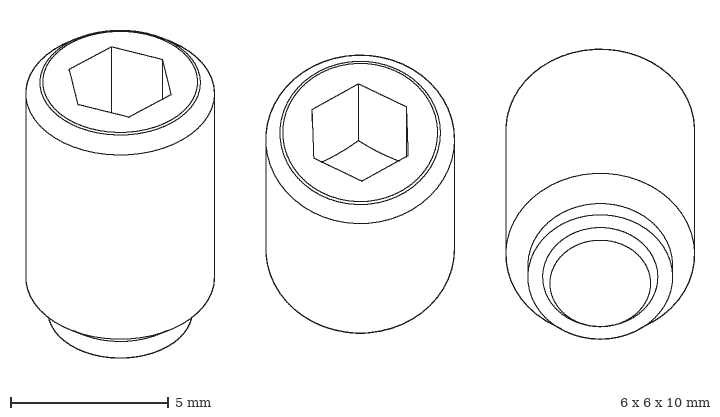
import cadquery as cq
import math

length = 10.0
thread_radius = 3.0
rim_radius = 2.55
face_radius = 2.46
rim_drop = 0.03
top_chamfer_height = 0.48
neck_radius = 2.3
lower_chamfer_height = thread_radius - neck_radius
neck_height = 0.7

tip_height = 0.4
tip_base_radius = 1.83
tip_end_radius = 1.6

hex_across_flats = 3.0
socket_depth = 4.0
cone_half_angle = 60.0

hex_across_corners = hex_across_flats / math.cos(math.radians(30))
hex_corner_radius = hex_across_corners / 2
cone_height = hex_corner_radius / math.tan(math.radians(cone_half_angle))
lower_chamfer_bottom = tip_height + neck_height


def make_socket():
    """Hexagonal prism ending in a cone that reaches the hexagon's corners."""
    cone_apex = length - socket_depth - cone_height
    prism = (
        cq.Workplane("XY", origin=(0, 0, cone_apex))
        .polygon(6, hex_across_corners)
        .extrude(length - cone_apex)
    )
    pointed_bore = (
        cq.Workplane("XZ")
        .moveTo(0, cone_apex)
        .lineTo(hex_corner_radius, length - socket_depth)
        .lineTo(hex_corner_radius, length)
        .lineTo(0, length)
        .close()
        .revolve(360, (0, 0, 0), (0, 1, 0))
    )
    return prism.intersect(pointed_bore)


def make_screw():
    """Turned screw body with chamfered ends, a neck and a hexagon socket."""
    profile = [
        (0, tip_height),
        (neck_radius, tip_height),
        (neck_radius, lower_chamfer_bottom),
        (thread_radius, lower_chamfer_bottom + lower_chamfer_height),
        (thread_radius, length - top_chamfer_height),
        (rim_radius, length - rim_drop),
        (face_radius, length),
        (0, length),
    ]
    blank = cq.Workplane("XZ").polyline(profile).close().revolve(360, (0, 0, 0), (0, 1, 0))
    return blank.cut(make_socket())


def make_tip():
    """Tapered pressure tip seated flat against the underside of the neck."""
    profile = [
        (0, 0),
        (tip_end_radius, 0),
        (tip_base_radius, tip_height),
        (0, tip_height),
    ]
    return cq.Workplane("XZ").polyline(profile).close().revolve(360, (0, 0, 0), (0, 1, 0))


screw = make_screw()
tip = make_tip()

result = cq.Compound.makeCompound([screw.val(), tip.val()])